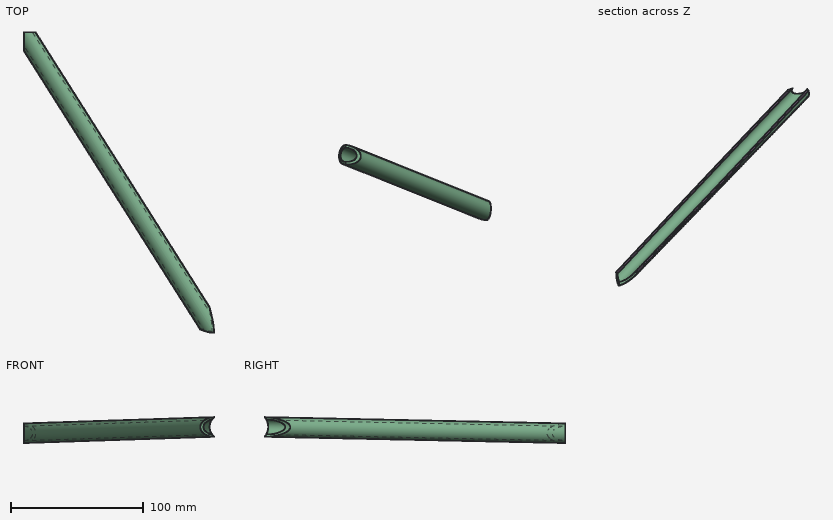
import cadquery as cq
import math

span_x = 143.7
span_y = 227.0
rise = 4.8
tube_radius = 7.5
wall = 2.0

pipe_radius_along_y = 10.0
pipe_radius_along_x = 12.0

overrun = 34.0
cutter_length = 136.2

low_end = cq.Vector(-span_x / 2, span_y / 2, -rise / 2)
high_end = cq.Vector(span_x / 2, -span_y / 2, rise / 2)
direction = (high_end - low_end).normalized()
start = low_end - direction * overrun
tube_length = (high_end - low_end).Length + 2 * overrun


def rod(radius):
    """Solid round bar along the brace axis, longer than the finished brace."""
    return cq.Workplane(obj=cq.Solid.makeCylinder(radius, tube_length, start, direction))


def trim_box(side_x, side_y, corner):
    """Block whose vertical edge through the corner faces the given X and Y sides."""
    center = corner + cq.Vector(side_x, side_y, 0) * (cutter_length / 2)
    return cq.Workplane().box(cutter_length, cutter_length, cutter_length).translate(center)


def keep_inside_end(body, corner, side_x, side_y):
    """Trim an end to two vertical planes that meet at the corner."""
    body = body.cut(trim_box(side_x, side_y, corner))
    body = body.cut(trim_box(side_x, -side_y, corner))
    return body.cut(trim_box(-side_x, side_y, corner))


def pipe(radius, axis, away):
    """Horizontal pipe envelope, set away from the high end so the tube's top and bottom tips just touch it."""
    offset = math.sqrt(radius**2 - tube_radius**2)
    base = high_end + away * offset - axis * (cutter_length / 2)
    return cq.Workplane(obj=cq.Solid.makeCylinder(radius, cutter_length, base, axis))


brace = rod(tube_radius).cut(rod(tube_radius - wall))

brace = keep_inside_end(brace, low_end, -1, 1)

brace = keep_inside_end(brace, high_end, 1, -1)
x_axis = cq.Vector(1, 0, 0)
y_axis = cq.Vector(0, 1, 0)
brace = brace.cut(pipe(pipe_radius_along_y, y_axis, x_axis))
brace = brace.cut(pipe(pipe_radius_along_x, x_axis, -y_axis))

result = brace